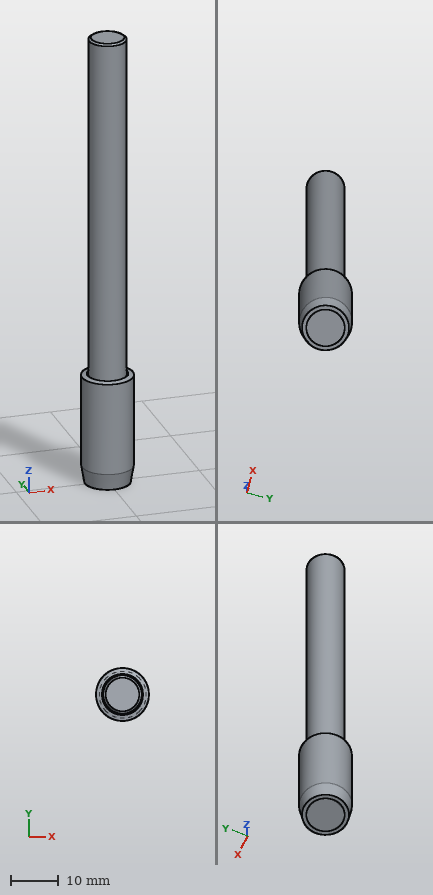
import cadquery as cq

total_length = 100.0

sleeve_diameter = 11.1
sleeve_length = 24.3
nose_diameter = 9.8
nose_length = 3.8

counterbore_diameter = 8.6
top_cone_height = 0.3
counterbore_depth = 1.0

pin_diameter = 8.0
pin_chamfer_width = 0.5
pin_chamfer_height = 0.4


def revolve_about_z(profile):
    """Solid of revolution from a closed list of (radius, height) points."""
    return cq.Workplane("XZ").polyline(profile).close().revolve(360, (0, 0), (0, 1))


def make_sleeve():
    """Sleeve standing on Z = 0, with the counterbored pin hole through its axis."""
    hole_radius = pin_diameter / 2
    sleeve_radius = sleeve_diameter / 2
    return revolve_about_z([
        (hole_radius, 0),
        (nose_diameter / 2, 0),
        (sleeve_radius, nose_length),
        (sleeve_radius, sleeve_length - top_cone_height),
        (counterbore_diameter / 2, sleeve_length),
        (counterbore_diameter / 2, sleeve_length - counterbore_depth),
        (hole_radius, sleeve_length - counterbore_depth),
    ])


def make_pin():
    """Round pin filling the sleeve hole, chamfered at its free top end."""
    pin_radius = pin_diameter / 2
    return revolve_about_z([
        (0, 0),
        (pin_radius, 0),
        (pin_radius, total_length - pin_chamfer_height),
        (pin_radius - pin_chamfer_width, total_length),
        (0, total_length),
    ])


sleeve = make_sleeve()
pin = make_pin()

result = cq.Compound.makeCompound([sleeve.val(), pin.val()])